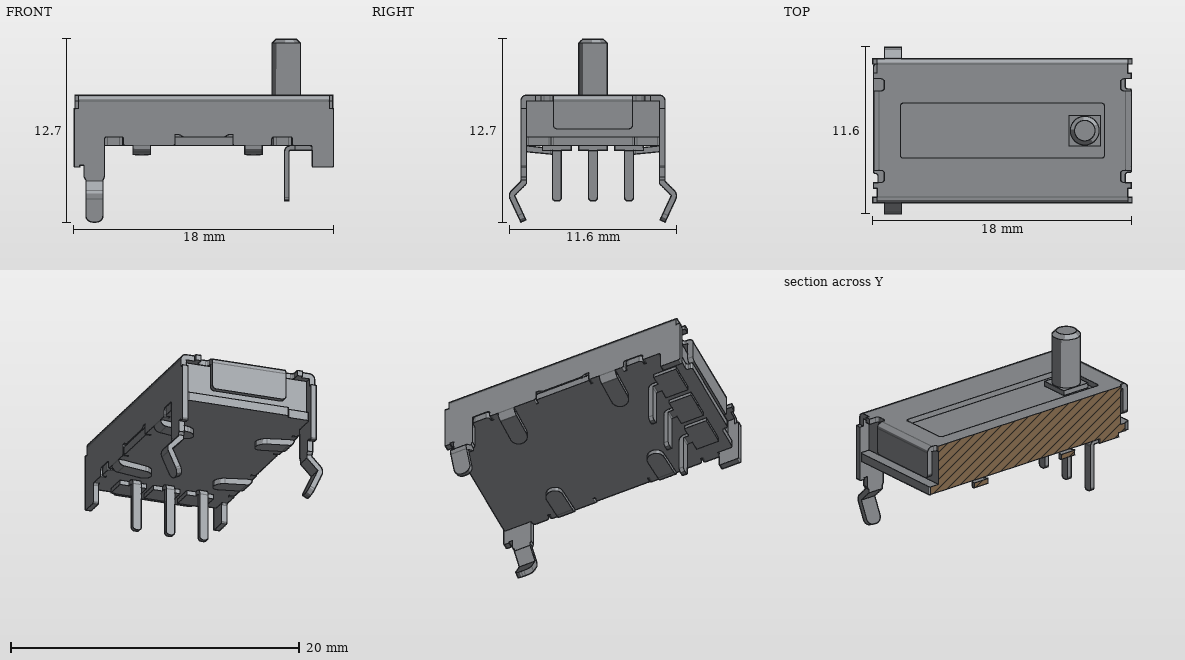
import cadquery as cq
import math


margin = 0.18

length = 18.0
width = 10.0
top_z = 5.0
sheet = 0.4
wall_half = length / 2
inner_half_width = width / 2 - sheet
ceiling_z = top_z - sheet
roof_half = 8.7
end_x = 8.95
shoulder_z = 4.07

slot_length = 14.17
slot_width = 3.82
slot_radius = 0.22
slider_x = 5.7
slider_length = 2.16
slider_width = 2.1
slider_height = 0.36
knob_diameter = 2.0
knob_top_z = 8.9
knob_chamfer = 0.29

flap_half_width = 2.75
flap_bottom_z = 2.66
flap_radius = 0.27
notch_outer_y = 3.6
notch_x = 8.2
notch_radius = 0.22
corner_tab_outer_y = 4.0

board_z = 1.5
board_thickness = 0.61
board_top_z = board_z + board_thickness
board_step_x = 8.64
board_right_x = 8.53
board_step_y = 2.99
tongue_half_width = 2.9
tongue_x = 8.96
board_radius = 0.15
body_half_length = 8.17
side_tab_reach = 0.36
side_tab_radius = 0.23
side_tab_width = 1.3
side_tab_centres = (-6.28, 5.44)
centre_tab_width = 4.03
centre_tab_recess = 0.07

opening_left = (-6.9, -5.58)
opening_right = (4.7, 6.14)
opening_radius = 0.16
relief_rise = 0.18
relief_flat = 0.27
relief_length = 0.58
foot_x = 7.5
foot_radius = 0.1
lip_radius = 0.15

leg_x = -7.6
leg_width = 1.2
leg_root_left = -8.33
leg_root_right = opening_left[0]
leg_left = leg_x - leg_width / 2
leg_right = leg_x + leg_width / 2
leg_shoulder_z = -0.67
leg_neck_z = -0.88
leg_bend_z = -0.97
leg_tip_z = -3.82
leg_elbow_radius = 0.54
leg_bend_radius = 0.1
leg_tip_radius = 0.5
leg_out_angle = 45.0
leg_in_angle = 25.0
heel_x = -8.6
heel_rise = 0.13
heel_radius = 0.09

clip_centres = (-4.32, 3.44)
clip_width = 1.22
clip_bend_radius = 0.43
clip_tip_y = 2.34
clip_droop = 0.22

pin_pitch = 2.5
pin_width = 0.63
pin_thickness = 0.32
pin_x = 5.58
pin_bottom_z = -2.34
pin_tip_radius = 0.23
pin_inner_bend = 0.09
pad_width = 2.0
pad_start_x = 6.3
pad_end_x = 8.0


def box(x0, x1, y0, y1, z0, z1):
    """Axis-aligned block between opposite corners."""
    return cq.Workplane("XY").box(x1 - x0, y1 - y0, z1 - z0, centered=False).translate((x0, y0, z0))


def both_sides(solid, plane="XZ"):
    """The solid together with its mirror image."""
    return solid.union(solid.mirror(plane))


def fillet_between(solid, x0, x1, z, radius):
    """Round the edges along Y that lie between two X positions at one height."""
    reach = margin / 2
    near = cq.selectors.BoxSelector((x0 - reach, -width, z - reach), (x1 + reach, width, z + reach))
    return solid.edges("|Y").edges(near).fillet(radius)


def wall_opening(x0, x1):
    """Round-topped opening that leaves room for a board tab."""
    opening = box(x0, x1, -width, width, board_z - margin, board_top_z)
    return opening.edges("|Y and >Z").fillet(opening_radius)


def wall_profile():
    """Side outline of the cover, as a block spanning its full width."""
    lower = (
        cq.Workplane("XZ")
        .moveTo(-wall_half, shoulder_z)
        .lineTo(-wall_half, 0)
        .lineTo(heel_x, 0)
        .lineTo(heel_x, heel_rise)
        .lineTo(leg_root_left, heel_rise)
        .lineTo(leg_root_left, leg_shoulder_z)
        .lineTo(leg_left, leg_neck_z)
        .lineTo(leg_left, leg_bend_z)
        .lineTo(leg_right, leg_bend_z)
        .lineTo(leg_right, leg_neck_z)
        .lineTo(leg_root_right, leg_shoulder_z)
        .lineTo(leg_root_right, board_z)
        .lineTo(foot_x, board_z)
        .lineTo(foot_x, 0)
        .lineTo(wall_half, 0)
        .lineTo(wall_half, shoulder_z)
        .close()
        .extrude(width / 2, both=True)
    )
    lower = fillet_between(lower, foot_x, wall_half, 0, foot_radius)
    lower = fillet_between(lower, -wall_half, -wall_half, 0, heel_radius)
    upper = box(-roof_half, roof_half, -width / 2, width / 2, shoulder_z, top_z)
    return lower.union(upper)


def centre_opening():
    """Opening for the wide board tab, with a raised relief at each end."""
    half = centre_tab_width / 2
    relief_z = board_top_z + relief_rise
    return (
        cq.Workplane("XZ")
        .moveTo(-half, board_z - margin)
        .lineTo(-half, relief_z)
        .lineTo(-half + relief_flat, relief_z)
        .lineTo(-half + relief_length, board_top_z)
        .lineTo(half - relief_length, board_top_z)
        .lineTo(half - relief_flat, relief_z)
        .lineTo(half, relief_z)
        .lineTo(half, board_z - margin)
        .close()
        .extrude(width, both=True)
    )


def end_flap():
    """Left end flap, folded down from the roof, with the two corner tabs beside it."""
    flap = box(-end_x, -notch_x, -flap_half_width, flap_half_width, flap_bottom_z, top_z)
    flap = flap.edges("|Y and >Z and <X").fillet(sheet)
    flap = flap.edges("|X and <Z").fillet(flap_radius)
    flap = flap.cut(box(-end_x + sheet, 0, -width, width, 0, ceiling_z))
    tab = box(-end_x, -notch_x, notch_outer_y, corner_tab_outer_y, ceiling_z, top_z)
    return flap.union(both_sides(tab))


def cover():
    """Roof and two side walls with all openings, plus the folded ends."""
    channel = box(-wall_half, wall_half, -width / 2, width / 2, leg_bend_z, top_z)
    channel = channel.edges("|X and >Z").fillet(sheet)
    channel = channel.cut(
        box(-wall_half, wall_half, -inner_half_width, inner_half_width, leg_bend_z, ceiling_z)
    )
    shell = channel.intersect(wall_profile()).cut(centre_opening())
    for x0, x1 in (opening_left, opening_right):
        shell = shell.cut(wall_opening(x0, x1))
    shell = fillet_between(shell, opening_left[1], foot_x, board_z, lip_radius)

    notch = box(notch_x, wall_half, flap_half_width, notch_outer_y, ceiling_z, top_z)
    notch = both_sides(notch.edges("|Z and <X").fillet(notch_radius))
    shell = shell.cut(both_sides(notch, "YZ"))
    flap_bend = box(end_x - sheet, wall_half, -flap_half_width, flap_half_width, ceiling_z, top_z)
    shell = shell.cut(both_sides(flap_bend, "YZ"))
    shell = shell.union(both_sides(end_flap(), "YZ"))

    slot = cq.Workplane("XY", origin=(0, 0, ceiling_z)).rect(slot_length, slot_width).extrude(sheet)
    return shell.cut(slot.edges("|Z").fillet(slot_radius))


def snap_leg():
    """Bent snap leg below the wall on the +Y side."""
    out = math.radians(leg_out_angle)
    inward = math.radians(leg_in_angle)
    outer_y = width / 2
    upper_y, upper_z = math.cos(out), math.sin(out)
    lower_y, lower_z = math.cos(inward), -math.sin(inward)
    upper_offset = upper_y * outer_y + upper_z * leg_bend_z
    lower_offset = lower_y * outer_y + lower_z * leg_tip_z
    determinant = upper_y * lower_z - upper_z * lower_y

    def elbow(depth):
        """Point where the limb faces meet, at a depth below the outer faces."""
        a = upper_offset - depth
        b = lower_offset - depth
        return ((a * lower_z - b * upper_z) / determinant, (b * upper_y - a * lower_y) / determinant)

    root_inner_z = (upper_offset - sheet - upper_y * inner_half_width) / upper_z
    leg = (
        cq.Workplane("YZ", origin=(leg_left, 0, 0))
        .moveTo(outer_y, leg_neck_z)
        .lineTo(outer_y, leg_bend_z)
        .lineTo(*elbow(0))
        .lineTo(outer_y, leg_tip_z)
        .lineTo(outer_y - sheet * lower_y, leg_tip_z - sheet * lower_z)
        .lineTo(*elbow(sheet))
        .lineTo(inner_half_width, root_inner_z)
        .lineTo(inner_half_width, leg_neck_z)
        .close()
        .extrude(leg_width)
    )
    leg = leg.edges("|X and >Y").fillet(leg_elbow_radius)
    bend = cq.selectors.NearestToPointSelector((leg_x, outer_y, leg_bend_z))
    leg = leg.edges("|X").edges(bend).fillet(leg_bend_radius)
    return leg.faces("<Z").edges("#X").fillet(leg_tip_radius)


def clip(centre_x):
    """Tongue folded from the +Y wall to slope under the board, with a round tip."""
    outer_y = width / 2
    clip_bottom_z = board_z - clip_bend_radius
    tongue = (
        cq.Workplane("YZ", origin=(centre_x - clip_width / 2, 0, 0))
        .moveTo(outer_y, board_z)
        .radiusArc((outer_y - clip_bend_radius, clip_bottom_z), clip_bend_radius)
        .lineTo(clip_tip_y, clip_bottom_z - clip_droop)
        .lineTo(clip_tip_y, clip_bottom_z - clip_droop + sheet)
        .lineTo(outer_y - sheet, board_z)
        .close()
        .extrude(clip_width)
    )
    tip_centre_y = clip_tip_y + clip_width / 2
    outline = box(
        centre_x - clip_width / 2, centre_x + clip_width / 2, tip_centre_y, width, 0, board_top_z
    ).union(
        cq.Workplane("XY").center(centre_x, tip_centre_y).circle(clip_width / 2).extrude(board_top_z)
    )
    return tongue.intersect(outline)


def board():
    """Terminal board with a stepped left end, a right tongue and tabs into the walls."""
    plate = (
        cq.Workplane("XY", origin=(0, 0, board_z))
        .moveTo(-end_x, inner_half_width)
        .lineTo(-end_x, -board_step_y)
        .lineTo(-board_step_x, -board_step_y)
        .lineTo(-board_step_x, -inner_half_width)
        .lineTo(board_right_x, -inner_half_width)
        .lineTo(board_right_x, -tongue_half_width)
        .lineTo(tongue_x, -tongue_half_width)
        .lineTo(tongue_x, tongue_half_width)
        .lineTo(board_right_x, tongue_half_width)
        .lineTo(board_right_x, inner_half_width)
        .close()
        .extrude(board_thickness)
        .edges("|Z")
        .fillet(board_radius)
    )
    tab_y = inner_half_width + side_tab_reach
    for x in side_tab_centres:
        half = side_tab_width / 2
        tab = box(x - half, x + half, -tab_y, tab_y, board_z, board_top_z)
        plate = plate.union(tab.edges("|Z").fillet(side_tab_radius))
    half = centre_tab_width / 2
    tab_y = width / 2 - centre_tab_recess
    return plate.union(box(-half, half, -tab_y, tab_y, board_z, board_top_z))


def body():
    """Moulded block filling the space between the board and the roof."""
    return box(
        -body_half_length, body_half_length, -inner_half_width, inner_half_width, board_top_z, ceiling_z
    )


def slider():
    """Square slider base with a round, chamfered knob."""
    base = (
        cq.Workplane("XY", origin=(slider_x, 0, ceiling_z))
        .rect(slider_length, slider_width)
        .extrude(slider_height)
    )
    knob = (
        cq.Workplane("XY", origin=(slider_x, 0, ceiling_z))
        .circle(knob_diameter / 2)
        .extrude(knob_top_z - ceiling_z)
        .faces(">Z")
        .chamfer(knob_chamfer)
    )
    return base.union(knob)


def terminal(y):
    """Bent terminal: a pad under the board and a pin pointing down."""
    pad = box(
        pad_start_x, pad_end_x, y - pad_width / 2, y + pad_width / 2, board_z - pin_thickness, board_z
    )
    neck = box(pin_x, pad_end_x, y - pin_width / 2, y + pin_width / 2, pin_bottom_z, board_z)
    neck = neck.edges("|X and <Z").fillet(pin_tip_radius)
    neck = neck.edges("|Y and <X and >Z").fillet(pin_inner_bend + pin_thickness)
    clearance = box(
        pin_x + pin_thickness, pad_end_x, y - pad_width, y + pad_width, pin_bottom_z, board_z - pin_thickness
    )
    clearance = clearance.edges("|Y and <X and >Z").fillet(pin_inner_bend)
    return pad.union(neck.cut(clearance))


result = cover().union(both_sides(snap_leg())).union(board()).union(body()).union(slider())
for clip_x in clip_centres:
    result = result.union(both_sides(clip(clip_x)))
for row in (-1, 0, 1):
    result = result.union(terminal(row * pin_pitch))